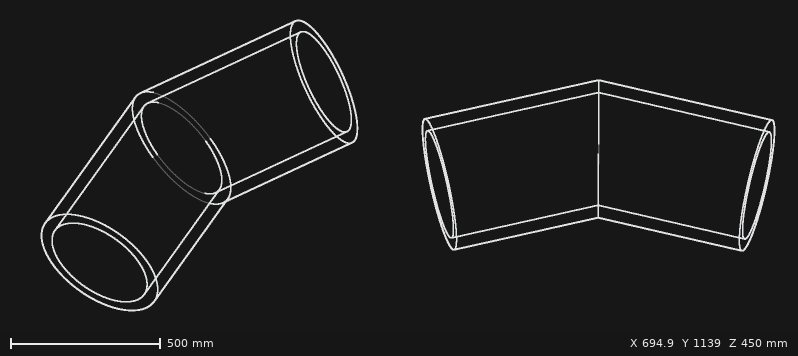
import cadquery as cq
import math

overall_length = 1139.0
outer_diameter = 450.0
bore_diameter = 368.0
bend_angle = math.radians(30.0)

end_rim_reach = outer_diameter / 2 * math.sin(bend_angle)
leg_length = (overall_length - end_rim_reach) / (1 + math.cos(bend_angle))

mitre_point = (0, leg_length)
end_point = (
    leg_length * math.sin(bend_angle),
    leg_length * (1 + math.cos(bend_angle)),
)
centreline = cq.Workplane("XY").polyline([(0, 0), mitre_point, end_point])

pipe_wall = cq.Workplane("XZ").circle(outer_diameter / 2).circle(bore_diameter / 2)
result = pipe_wall.sweep(centreline, transition="right")